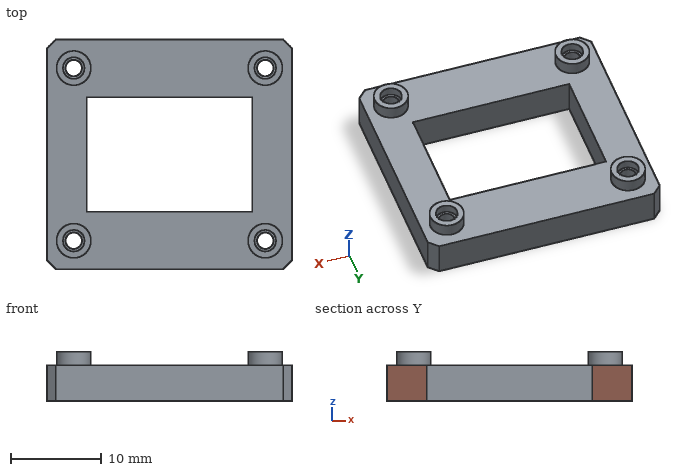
import cadquery as cq

length = 27.22
width = 25.53
total_height = 5.5
boss_height = 1.5
plate_height = total_height - boss_height
corner_chamfer = 1.0

window_length = 18.32
window_width = 12.68

boss_spacing_x = 21.25
boss_spacing_y = 19.15
boss_diameter = 3.8
bore_diameter = 2.4
bore_depth = 1.0
hole_diameter = 1.8


def make_plate():
    """Plate resting on Z = 0, with chamfered corners and an open window."""
    plate = cq.Workplane("XY").box(length, width, plate_height, centered=(True, True, False))
    plate = plate.edges("|Z").chamfer(corner_chamfer)
    return plate.faces(">Z").workplane().rect(window_length, window_width).cutThruAll()


def corner_cylinders(diameter, bottom, top):
    """Four equal cylinders on the boss axes between two heights."""
    return (
        cq.Workplane("XY", origin=(0, 0, bottom))
        .rect(boss_spacing_x, boss_spacing_y, forConstruction=True)
        .vertices()
        .circle(diameter / 2)
        .extrude(top - bottom)
    )


bosses = corner_cylinders(boss_diameter, 0, total_height)
through_holes = corner_cylinders(hole_diameter, 0, total_height)
bores = corner_cylinders(bore_diameter, total_height - bore_depth, total_height)

result = make_plate().union(bosses).cut(through_holes).cut(bores)